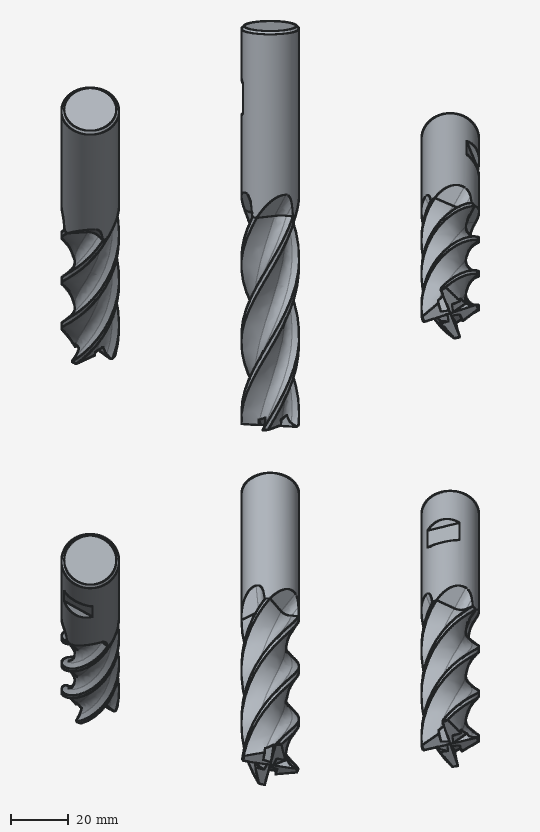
import cadquery as cq
import math

TOTAL_LENGTH = 141.0
DIAMETER = 20.0
RADIUS = DIAMETER / 2
CUTTING_LENGTH = 75.0
TEETH = 4
TOOTH_STEP = 360 / TEETH
HELIX_ANGLE = 30.0
LEAD = math.pi * DIAMETER / math.tan(math.radians(HELIX_ANGLE))
TWIST = 360 * CUTTING_LENGTH / LEAD

MARGIN_ANGLE = 10.0
CORE_RADIUS = 5.5
CORE_ANGLE = 54.0
RAKE_ROOT_RADIUS = 7.6
RAKE_ROOT_ANGLE = 86.0

RUNOUT_HEIGHT = 8.2
RUNOUT_OUTWARD = 5.1

CORNER_CHAMFER = 0.5
RELIEF_ANGLE = 10.0
GASH_START = 0.8
GASH_RISE_ANGLE = 38.0
GASH_OPENING_ANGLE = 85.0
GASH_WIDTH = 2.8

SHANK_CHAMFER = 1.0
FLAT_DEPTH = 1.8
FLAT_LENGTH = 10.3
FLAT_CENTRE_Z = 116.0

CLEARANCE = RADIUS


def polar(radius, angle):
    """Point (x, y) at a radius and an angle in degrees."""
    return radius * math.cos(math.radians(angle)), radius * math.sin(math.radians(angle))


def back_direction():
    """Direction along the straight tooth back, from the margin toward the core."""
    margin_x, margin_y = polar(RADIUS, MARGIN_ANGLE)
    core_x, core_y = polar(CORE_RADIUS, CORE_ANGLE)
    return cq.Vector(core_x - margin_x, core_y - margin_y).normalized()


def root_middle():
    """Middle point of the flute root arc, which is tangent to the tooth back."""
    start = cq.Vector(*polar(CORE_RADIUS, CORE_ANGLE))
    end = cq.Vector(*polar(RAKE_ROOT_RADIUS, RAKE_ROOT_ANGLE))
    arc = cq.Edge.makeTangentArc(start, back_direction(), end)
    middle = arc.positionAt(0.5)
    return middle.x, middle.y


def turned(point, angle):
    """The point turned about the axis by an angle in degrees."""
    x, y = point
    return polar(math.hypot(x, y), math.degrees(math.atan2(y, x)) + angle)


def tooth_section():
    """Full cross-section of the fluted length."""
    section = cq.Workplane("XY").moveTo(RADIUS, 0)
    for tooth in range(TEETH):
        edge = tooth * TOOTH_STEP
        section = (
            section
            .threePointArc(polar(RADIUS, edge + MARGIN_ANGLE / 2), polar(RADIUS, edge + MARGIN_ANGLE))
            .lineTo(*polar(CORE_RADIUS, edge + CORE_ANGLE))
            .threePointArc(turned(root_middle(), edge), polar(RAKE_ROOT_RADIUS, edge + RAKE_ROOT_ANGLE))
        )
        if tooth < TEETH - 1:
            section = section.lineTo(*polar(RADIUS, edge + TOOTH_STEP))
    return section.close()


def around(cutter, first_angle=0):
    """One copy of a cutting shape for each tooth."""
    for tooth in range(TEETH):
        yield cutter.rotate((0, 0, 0), (0, 0, 1), first_angle + tooth * TOOTH_STEP)


def corner_chamfer_cutter():
    """Ring that bevels the outer corner of the tip."""
    outer = RADIUS + CLEARANCE
    return (
        cq.Workplane("XZ")
        .polyline([
            (RADIUS - CORNER_CHAMFER, 0),
            (outer, 0),
            (outer, CORNER_CHAMFER + CLEARANCE),
        ])
        .close()
        .revolve(360, (0, 0, 0), (0, 1, 0))
    )


def end_relief_cutter():
    """Wedge that slopes the end face upward behind the edge lying along +X."""
    reach = RADIUS + CLEARANCE
    return (
        cq.Workplane("YZ")
        .polyline([(0, 0), (reach, 0), (reach, reach * math.tan(math.radians(RELIEF_ANGLE)))])
        .close()
        .extrude(reach)
    )


def gash_cutter():
    """End gash in front of the edge lying along +X."""
    depth = CLEARANCE
    reach = RADIUS + CLEARANCE
    drop = GASH_WIDTH / math.tan(math.radians(GASH_OPENING_ANGLE))
    return (
        cq.Workplane("YZ")
        .polyline([(0, 0), (0, -depth), (-GASH_WIDTH, -depth), (-GASH_WIDTH, -drop)])
        .close()
        .extrude(reach)
        .rotate((0, 0, 0), (0, 1, 0), -GASH_RISE_ANGLE)
        .translate((GASH_START, 0, 0))
    )


def make_cutting_part():
    """Helically fluted cutting length with its ground tip."""
    part = tooth_section().twistExtrude(CUTTING_LENGTH, TWIST)
    part = part.cut(corner_chamfer_cutter())
    for cutter in around(end_relief_cutter()):
        part = part.cut(cutter)
    for cutter in around(gash_cutter()):
        part = part.cut(cutter)
    return part


def runout_cutter():
    """Flute section drawn upward and outward, parallel to the rake face."""
    reach = RADIUS + CLEARANCE
    margin = cq.Vector(*polar(RADIUS, MARGIN_ANGLE))
    outside = margin - back_direction() * CLEARANCE
    profile = (
        cq.Workplane("XY")
        .moveTo(outside.x, outside.y)
        .lineTo(*polar(CORE_RADIUS, CORE_ANGLE))
        .threePointArc(root_middle(), polar(RAKE_ROOT_RADIUS, RAKE_ROOT_ANGLE))
        .lineTo(0, RADIUS)
        .lineTo(0, reach)
        .lineTo(outside.x, reach)
        .close()
    )
    direction = cq.Vector(0, RUNOUT_OUTWARD, RUNOUT_HEIGHT)
    cutter = cq.Solid.extrudeLinear(profile.val(), [], direction)
    return cq.Workplane(cutter).translate((0, 0, CUTTING_LENGTH))


def clamping_flat_cutter():
    """Trapezoid slot that forms the clamping flat on the +Y side of the shank."""
    floor_y = RADIUS - FLAT_DEPTH
    outer_y = RADIUS + CLEARANCE
    half_floor = FLAT_LENGTH / 2
    half_mouth = half_floor + outer_y - floor_y
    return (
        cq.Workplane("YZ")
        .polyline([
            (floor_y, FLAT_CENTRE_Z - half_floor),
            (outer_y, FLAT_CENTRE_Z - half_mouth),
            (outer_y, FLAT_CENTRE_Z + half_mouth),
            (floor_y, FLAT_CENTRE_Z + half_floor),
        ])
        .close()
        .extrude(RADIUS, both=True)
    )


def make_shank():
    """Shank and neck, with the flute run-outs and the clamping flat."""
    part = (
        cq.Workplane("XY", origin=(0, 0, CUTTING_LENGTH))
        .circle(RADIUS)
        .extrude(TOTAL_LENGTH - CUTTING_LENGTH)
        .faces(">Z")
        .chamfer(SHANK_CHAMFER)
    )
    for cutter in around(runout_cutter(), TWIST):
        part = part.cut(cutter)
    return part.cut(clamping_flat_cutter())


cutting_part = make_cutting_part()
shank = make_shank()
result = cq.Compound.makeCompound([cutting_part.solids().val(), shank.solids().val()])